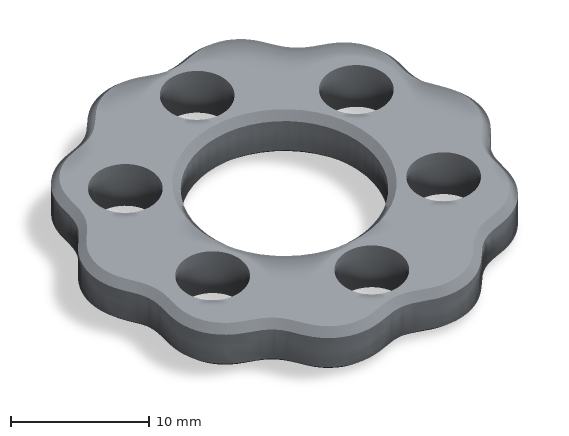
import cadquery as cq
import math

lobe_count = 10
tip_radius = 16.88
eccentricity = 0.68
roller_radius = 1.7
roller_circle_radius = tip_radius - eccentricity + roller_radius
points_per_lobe = 12

thickness = 4.0
chamfer = 0.6
bore_diameter = 15.0
hole_diameter = 5.4
hole_count = 6
hole_circle_radius = 11.5


def lobed_edge_point(angle):
    """Point on the cycloid, offset inward by the roller radius; a valley lies at angle 0."""
    fast_angle = (lobe_count + 1) * angle
    fast_radius = (lobe_count + 1) * eccentricity
    x = roller_circle_radius * math.cos(angle) - eccentricity * math.cos(fast_angle)
    y = roller_circle_radius * math.sin(angle) - eccentricity * math.sin(fast_angle)
    tangent_x = -roller_circle_radius * math.sin(angle) + fast_radius * math.sin(fast_angle)
    tangent_y = roller_circle_radius * math.cos(angle) - fast_radius * math.cos(fast_angle)
    offset = roller_radius / math.hypot(tangent_x, tangent_y)
    return x - tangent_y * offset, y + tangent_x * offset


point_count = lobe_count * points_per_lobe
outline = [
    lobed_edge_point(math.pi + 2 * math.pi * i / point_count)
    for i in range(point_count)
]
plate = cq.Workplane("XY").spline(outline, periodic=True).wire().extrude(thickness)

plate = plate.faces(">Z").workplane(origin=(0, 0, 0)).hole(bore_diameter)
plate = plate.faces("|Z").edges().chamfer(chamfer)

hole_cutters = (
    cq.Workplane("XY")
    .polarArray(hole_circle_radius, 0, 360, hole_count)
    .circle(hole_diameter / 2)
    .extrude(thickness)
)

result = plate.cut(hole_cutters)